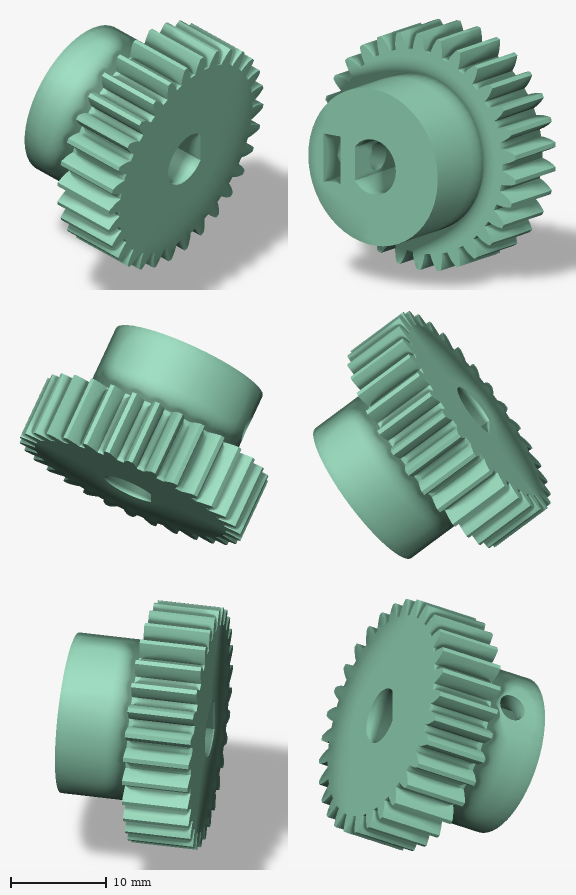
import cadquery as cq
import math

OUTER_DIAMETER = 25.6
TOOTH_COUNT = 30
MODULE = OUTER_DIAMETER / (TOOTH_COUNT + 2)
DEDENDUM = 1.25 * MODULE
OUTER_RADIUS = OUTER_DIAMETER / 2
PITCH_RADIUS = MODULE * TOOTH_COUNT / 2
ROOT_RADIUS = PITCH_RADIUS - DEDENDUM
TOOTH_PITCH_ANGLE = 2 * math.pi / TOOTH_COUNT

ROOT_HALF_THICKNESS = 0.96 * MODULE
PITCH_HALF_THICKNESS = 0.72 * MODULE
TIP_HALF_THICKNESS = 0.3 * MODULE

HUB_DIAMETER = 17.0
HUB_LENGTH = 8.0
GEAR_WIDTH = 7.01
TOTAL_LENGTH = HUB_LENGTH + GEAR_WIDTH

BORE_DIAMETER = 6.0
BORE_FLAT_OFFSET = 2.38

SCREW_DIAMETER = 3.0
SCREW_X = HUB_LENGTH / 2
NUT_INNER_Y = 4.25
NUT_THICKNESS = 2.28
NUT_ACROSS_FLATS = 5.3


def polar_point(radius, angle):
    """Point on the YZ plane, with the angle measured from +Z."""
    return (radius * math.sin(angle), radius * math.cos(angle))


def flank_point(radius, half_thickness, center_angle, side):
    """Point on one flank (side -1 or +1) of the tooth centered at an angle."""
    return polar_point(radius, center_angle + side * half_thickness / radius)


def make_gear():
    """Toothed disc with convex flanks and one tooth pointing along +Z."""
    start = flank_point(ROOT_RADIUS, ROOT_HALF_THICKNESS, 0, -1)
    outline = cq.Workplane("YZ", origin=(HUB_LENGTH, 0, 0)).moveTo(*start)
    for index in range(TOOTH_COUNT):
        center = index * TOOTH_PITCH_ANGLE
        next_center = center + TOOTH_PITCH_ANGLE
        outline = outline.threePointArc(
            flank_point(PITCH_RADIUS, PITCH_HALF_THICKNESS, center, -1),
            flank_point(OUTER_RADIUS, TIP_HALF_THICKNESS, center, -1),
        )
        outline = outline.threePointArc(
            polar_point(OUTER_RADIUS, center),
            flank_point(OUTER_RADIUS, TIP_HALF_THICKNESS, center, 1),
        )
        outline = outline.threePointArc(
            flank_point(PITCH_RADIUS, PITCH_HALF_THICKNESS, center, 1),
            flank_point(ROOT_RADIUS, ROOT_HALF_THICKNESS, center, 1),
        )
        outline = outline.threePointArc(
            polar_point(ROOT_RADIUS, center + TOOTH_PITCH_ANGLE / 2),
            flank_point(ROOT_RADIUS, ROOT_HALF_THICKNESS, next_center, -1),
        )
    return outline.close().extrude(GEAR_WIDTH)


def make_hub():
    """Plain cylindrical hub on the -X side of the gear."""
    return cq.Workplane("YZ").circle(HUB_DIAMETER / 2).extrude(HUB_LENGTH)


def make_bore():
    """Cutter for the through bore: a cylinder trimmed by the shaft flat."""
    cylinder = cq.Workplane("YZ").circle(BORE_DIAMETER / 2).extrude(TOTAL_LENGTH)
    kept_side = cq.Workplane("XY").box(
        TOTAL_LENGTH, BORE_DIAMETER, BORE_DIAMETER, centered=(False, False, True)
    ).translate((0, BORE_FLAT_OFFSET - BORE_DIAMETER, 0))
    return cylinder.intersect(kept_side)


def make_screw_hole():
    """Cutter for the radial screw hole, from the bore axis out through +Y."""
    axis_start = cq.Vector(SCREW_X, 0, 0)
    outward = cq.Vector(0, 1, 0)
    hole = cq.Solid.makeCylinder(SCREW_DIAMETER / 2, HUB_DIAMETER / 2, axis_start, outward)
    return cq.Workplane(hole)


def make_nut_trap():
    """Cutter for the nut slot, open at the hub face and ending in a hexagon point."""
    half_width = NUT_ACROSS_FLATS / 2
    corner_radius = NUT_ACROSS_FLATS / math.sqrt(3)
    shoulder_x = SCREW_X + corner_radius / 2
    outline = [
        (0, -half_width),
        (shoulder_x, -half_width),
        (SCREW_X + corner_radius, 0),
        (shoulder_x, half_width),
        (0, half_width),
    ]
    slot = cq.Workplane("XZ", origin=(0, NUT_INNER_Y, 0)).polyline(outline).close()
    return slot.extrude(-NUT_THICKNESS)


result = (
    make_hub()
    .union(make_gear())
    .cut(make_bore())
    .cut(make_screw_hole())
    .cut(make_nut_trap())
)